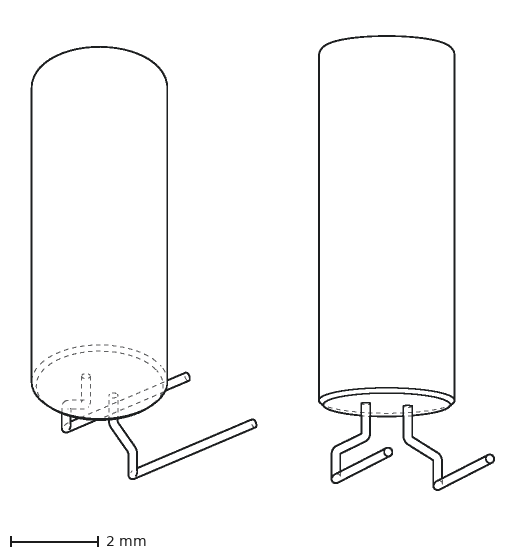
import cadquery as cq
import math

can_diameter = 3.1
can_top = 10.2
can_bottom = 1.9
top_round = 0.2
bottom_chamfer = 0.1

wire_diameter = 0.2
wire_radius = wire_diameter / 2
root_offset = 0.51
foot_offset = 1.23
jog_top = 1.13
jog_bottom = 0.74
bend_radius = 0.12
foot_height = wire_radius
foot_end = 3.5

jog_run = foot_offset - root_offset
jog_drop = jog_top - jog_bottom
bend_angle = math.atan2(jog_run, jog_drop)
bend_setback = bend_radius * math.tan(bend_angle / 2)
setback_x = bend_setback * math.sin(bend_angle)
setback_z = bend_setback * math.cos(bend_angle)


def make_can():
    """Plain cylinder with a rounded top rim and a chamfered bottom rim."""
    return (
        cq.Workplane("XY", origin=(0, 0, can_bottom))
        .circle(can_diameter / 2)
        .extrude(can_top - can_bottom)
        .faces(">Z").edges().fillet(top_round)
        .faces("<Z").edges().chamfer(bottom_chamfer)
    )


def make_lead(side):
    """One lead; side is -1 or +1 along X."""
    path = (
        cq.Workplane("XZ")
        .moveTo(side * root_offset, can_bottom)
        .lineTo(side * root_offset, jog_top + bend_setback)
        .tangentArcPoint((side * (root_offset + setback_x), jog_top - setback_z), relative=False)
        .lineTo(side * (foot_offset - setback_x), jog_bottom + setback_z)
        .tangentArcPoint((side * foot_offset, jog_bottom - bend_setback), relative=False)
        .lineTo(side * foot_offset, foot_height)
    )
    drop = (
        cq.Workplane("XY", origin=(side * root_offset, 0, can_bottom))
        .circle(wire_radius)
        .sweep(path)
    )

    corner = (side * foot_offset, 0, foot_height)
    elbow = cq.Workplane("XY", origin=corner).sphere(wire_radius)
    foot = cq.Workplane("XZ", origin=corner).circle(wire_radius).extrude(-foot_end)
    return drop.union(foot).union(elbow)


can = make_can()
leads = [make_lead(side) for side in (-1, 1)]

result = cq.Compound.makeCompound([can.val(), *[lead.solids().val() for lead in leads]])